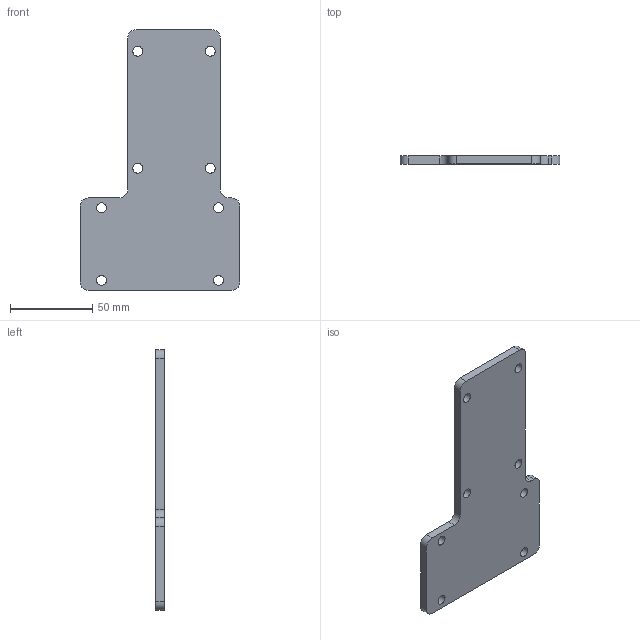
import cadquery as cq

base_length = 97.0
base_height = 56.0
stem_width = 56.0
stem_left = 29.0
total_height = 158.0
thickness = 5.0
corner_radius = 5.0

hole_diameter = 6.0
hole_pitch_long = 71.0
hole_pitch_short = 44.0
hole_end_margin = 13.0
hole_side_margin = (base_height - hole_pitch_short) / 2


def plate():
    """T-shaped plate in the XZ plane, front face at Y = 0, all corners rounded."""
    stem_right = stem_left + stem_width
    outline = [
        (0, 0),
        (base_length, 0),
        (base_length, base_height),
        (stem_right, base_height),
        (stem_right, total_height),
        (stem_left, total_height),
        (stem_left, base_height),
        (0, base_height),
    ]
    body = cq.Workplane("XZ").polyline(outline).close().extrude(-thickness)
    return body.edges("|Y").fillet(corner_radius)


def rectangle_corners(left, bottom, width, height):
    """Corner points of an upright rectangle of hole centres."""
    return [(left + dx, bottom + dz) for dx in (0, width) for dz in (0, height)]


def mounting_holes():
    """Through-hole cutters: four in the foot and four in the stem."""
    foot_holes = rectangle_corners(
        hole_end_margin, hole_side_margin, hole_pitch_long, hole_pitch_short
    )
    stem_holes = rectangle_corners(
        stem_left + hole_side_margin,
        total_height - hole_end_margin - hole_pitch_long,
        hole_pitch_short,
        hole_pitch_long,
    )
    centres = foot_holes + stem_holes
    return cq.Workplane("XZ").pushPoints(centres).circle(hole_diameter / 2).extrude(-thickness)


result = plate().cut(mounting_holes())